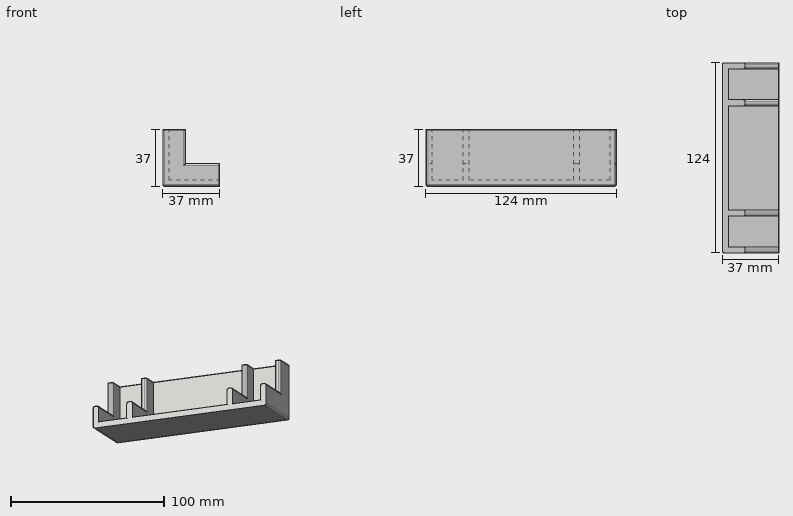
import cadquery as cq

length = 124.0
leg = 37.0
wall = 4.0
rib_depth = 14.9
rib_pitch = 24.0
edge_radius = 1.2
tolerance = 0.01

outer_rib_y = (length - wall) / 2
inner_rib_y = outer_rib_y - rib_pitch
rib_positions = [-outer_rib_y, -inner_rib_y, inner_rib_y, outer_rib_y]


def angle_section(thickness, width, center_y):
    """L section with legs of the given thickness, extruded along Y."""
    return (
        cq.Workplane("XZ", origin=(0, center_y, 0))
        .moveTo(0, 0)
        .lineTo(leg, 0)
        .lineTo(leg, thickness)
        .lineTo(thickness, thickness)
        .lineTo(thickness, leg)
        .lineTo(0, leg)
        .close()
        .extrude(width / 2, both=True)
    )


def edges_in_box(body, low, high):
    """Edges whose centers lie inside the box between two corners."""
    return body.edges(cq.selectors.BoxSelector(low, high))


def round_rib_edges(body):
    """Round both long edges of every rib, along its upright and its foot."""
    near = rib_depth - tolerance
    far = rib_depth + tolerance
    half = length / 2 + tolerance
    upright = edges_in_box(body, (near, -half, far), (far, half, leg - tolerance)).edges("|Z")
    foot = edges_in_box(body, (far, -half, near), (leg - tolerance, half, far)).edges("|X")
    return body.newObject(upright.vals() + foot.vals()).fillet(edge_radius)


def round_outer_edges(body):
    """Round the heel edge and the end edges next to the back and the underside."""
    half = length / 2 + tolerance
    back = edges_in_box(body, (-tolerance, -half, -tolerance), (tolerance, half, leg - tolerance))
    underside = edges_in_box(body, (tolerance, -half, -tolerance), (leg - tolerance, half, tolerance))
    return body.newObject(back.vals() + underside.vals()).fillet(edge_radius)


bracket = angle_section(wall, length, 0)
for rib_y in rib_positions:
    bracket = bracket.union(angle_section(rib_depth, wall, rib_y))
bracket = bracket.clean()

result = round_outer_edges(round_rib_edges(bracket))